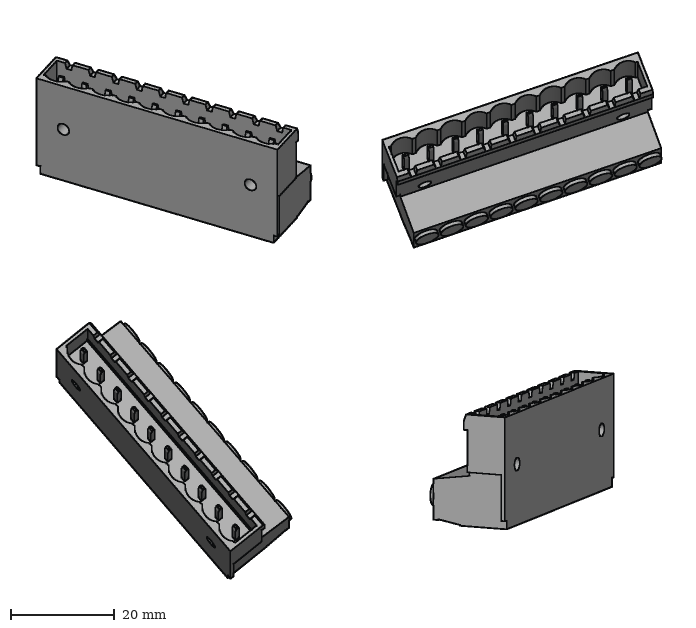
import cadquery as cq


pole_count = 10
pitch = 5.1
pole_positions = [(i - (pole_count - 1) / 2) * pitch for i in range(pole_count)]

shell_length = 52.4
shell_depth = 7.85
height = 22.0
shell_step_z = 10.75
plate_thickness = 0.8
plate_bottom_z = 1.75

lip_back_y = 8.65
lip_bottom_z = 18.95
lip_bevel_height = 1.25
lip_bevel_depth = 0.45

block_length = 50.75
block_back_y = 15.35
block_top_front_z = 9.9
block_top_back_z = 8.8
underside_slope_start_y = 9.85
underside_slope_start_z = 0.15
underside_slope_end_y = 14.35
underside_slope_end_z = 0.95
block_back_bottom_z = 0.8

screw_diameter = 4.6
screw_z = 5.4
screw_back_y = 16.15

cavity_length = 50.95
cavity_front_y = 1.8
cavity_back_y = 7.2
cavity_floor_z = 13.65
bay_width = 4.35
bay_depth = 0.95

ledge_depth = 0.15
ledge_height = 1.05

notch_top_width = 1.7
notch_bottom_width = 1.0
notch_depth = 1.25

pin_size = 1.0
pin_y = 4.1
pin_top_z = 20.95
pin_taper_height = 1.0
pin_tip_thickness = 0.35

hole_diameter = 2.5
hole_x = 4 * pitch
hole_z = 11.95


def extrude_along_x(points, length):
    """Prism with a YZ outline, centred on X."""
    return cq.Workplane("YZ").polyline(points).close().extrude(length / 2, both=True)


def make_shell():
    outline = [
        (0, plate_bottom_z),
        (0, height),
        (lip_back_y - lip_bevel_depth, height),
        (lip_back_y, height - lip_bevel_height),
        (lip_back_y, lip_bottom_z),
        (shell_depth, lip_bottom_z),
        (shell_depth, shell_step_z),
        (plate_thickness, shell_step_z),
        (plate_thickness, plate_bottom_z),
    ]
    return extrude_along_x(outline, shell_length)


def make_block():
    outline = [
        (0, 0),
        (0, shell_step_z),
        (shell_depth, shell_step_z),
        (shell_depth, block_top_front_z),
        (block_back_y, block_top_back_z),
        (block_back_y, block_back_bottom_z),
        (underside_slope_end_y, block_back_bottom_z),
        (underside_slope_end_y, underside_slope_end_z),
        (underside_slope_start_y, underside_slope_start_z),
        (underside_slope_start_y, 0),
    ]
    return extrude_along_x(outline, block_length)


def make_screw_head(x):
    return (
        cq.Workplane("XZ", origin=(x, block_back_y, screw_z))
        .circle(screw_diameter / 2)
        .extrude(block_back_y - screw_back_y)
    )


def make_cavity():
    path = cq.Workplane("XY", origin=(0, 0, cavity_floor_z)).moveTo(-cavity_length / 2, cavity_front_y)
    for x in pole_positions:
        path = path.lineTo(x - bay_width / 2, cavity_front_y)
        path = path.threePointArc(
            (x, cavity_front_y - bay_depth),
            (x + bay_width / 2, cavity_front_y),
        )
    path = path.lineTo(cavity_length / 2, cavity_front_y)
    path = path.lineTo(cavity_length / 2, cavity_back_y)
    path = path.lineTo(-cavity_length / 2, cavity_back_y)
    return path.close().extrude(height - cavity_floor_z)


def make_cavity_ledge():
    return (
        cq.Workplane("XY", origin=(0, cavity_back_y, cavity_floor_z))
        .rect(cavity_length, 2 * ledge_depth)
        .extrude(ledge_height)
    )


def make_notch(x):
    outline = [
        (x - notch_top_width / 2, height),
        (x + notch_top_width / 2, height),
        (x + notch_bottom_width / 2, height - notch_depth),
        (x - notch_bottom_width / 2, height - notch_depth),
    ]
    return (
        cq.Workplane("XZ", origin=(0, lip_back_y, 0))
        .polyline(outline)
        .close()
        .extrude(lip_back_y - cavity_back_y)
    )


def make_pin(x):
    taper_z = pin_top_z - pin_taper_height
    outline = [
        (pin_y - pin_size / 2, cavity_floor_z),
        (pin_y - pin_size / 2, taper_z),
        (pin_y - pin_tip_thickness / 2, pin_top_z),
        (pin_y + pin_tip_thickness / 2, pin_top_z),
        (pin_y + pin_size / 2, taper_z),
        (pin_y + pin_size / 2, cavity_floor_z),
    ]
    return extrude_along_x(outline, pin_size).translate((x, 0, 0))


def make_mounting_holes():
    return (
        cq.Workplane("XZ")
        .pushPoints([(-hole_x, hole_z), (hole_x, hole_z)])
        .circle(hole_diameter / 2)
        .extrude(-shell_depth)
    )


result = make_shell().union(make_block()).cut(make_cavity())
result = result.union(make_cavity_ledge())
for pole_x in pole_positions:
    result = result.cut(make_notch(pole_x))
    result = result.union(make_pin(pole_x))
    result = result.union(make_screw_head(pole_x))
result = result.cut(make_mounting_holes())